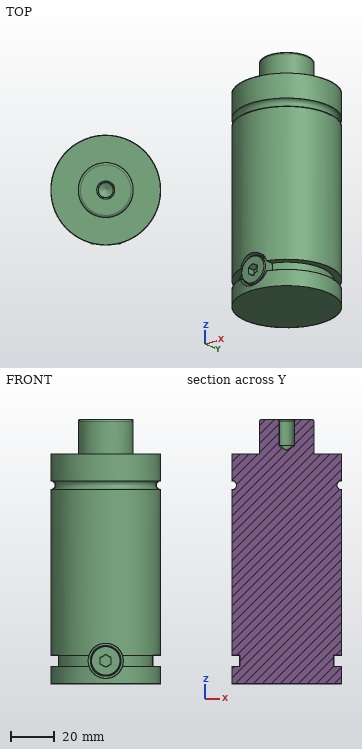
import cadquery as cq
import math

BODY_DIAMETER = 50.0
BODY_HEIGHT = 104.7
BODY_RADIUS = BODY_DIAMETER / 2

CUT_CLEARANCE = 1.0

TOTAL_HEIGHT = 120.4
ROD_DIAMETER = 25.0
ROD_EDGE_FILLET = 1.0

TAP_DRILL_DIAMETER = 6.8
COUNTERSINK_DIAMETER = 8.2
TAP_DRILL_DEPTH = 12.0
DRILL_POINT_ANGLE = 118.0

ROUND_GROOVE_RADIUS = 2.0
ROUND_GROOVE_Z = 90.4

SQUARE_GROOVE_BOTTOM = 8.0
SQUARE_GROOVE_WIDTH = 5.0
SQUARE_GROOVE_DIAMETER = 43.0

PORT_Z = SQUARE_GROOVE_BOTTOM + SQUARE_GROOVE_WIDTH / 2
PORT_DIAMETER = 16.0
PORT_FLOOR_Y = -18.0
PLUG_DIAMETER = 14.0
PLUG_FACE_Y = -24.5
PLUG_CHAMFER = 0.5
HEX_ACROSS_FLATS = 5.0
HEX_DEPTH = 4.0


def make_body():
    body = cq.Workplane("XY").circle(BODY_RADIUS).extrude(BODY_HEIGHT)
    rod = (
        cq.Workplane("XY", origin=(0, 0, BODY_HEIGHT))
        .circle(ROD_DIAMETER / 2)
        .extrude(TOTAL_HEIGHT - BODY_HEIGHT)
        .faces(">Z")
        .edges()
        .fillet(ROD_EDGE_FILLET)
    )
    return body.union(rod)


def make_tapped_hole():
    """Revolved hole: 45 degree countersink, drilled bore and drill point."""
    bore_radius = TAP_DRILL_DIAMETER / 2
    mouth_radius = COUNTERSINK_DIAMETER / 2
    countersink_depth = mouth_radius - bore_radius
    point_depth = bore_radius / math.tan(math.radians(DRILL_POINT_ANGLE / 2))
    bore_end = TOTAL_HEIGHT - TAP_DRILL_DEPTH
    return (
        cq.Workplane("XZ")
        .moveTo(0, TOTAL_HEIGHT)
        .lineTo(mouth_radius, TOTAL_HEIGHT)
        .lineTo(bore_radius, TOTAL_HEIGHT - countersink_depth)
        .lineTo(bore_radius, bore_end)
        .lineTo(0, bore_end - point_depth)
        .close()
        .revolve(360, (0, 0), (0, 1))
    )


def make_round_groove():
    return cq.Workplane("XY").add(
        cq.Solid.makeTorus(BODY_RADIUS, ROUND_GROOVE_RADIUS, cq.Vector(0, 0, ROUND_GROOVE_Z))
    )


def make_square_groove():
    return (
        cq.Workplane("XY", origin=(0, 0, SQUARE_GROOVE_BOTTOM))
        .circle(BODY_RADIUS + CUT_CLEARANCE)
        .circle(SQUARE_GROOVE_DIAMETER / 2)
        .extrude(SQUARE_GROOVE_WIDTH)
    )


def port_plane(y):
    """Plane across the port axis at the given Y, facing outward along -Y."""
    return cq.Workplane("XZ", origin=(0, y, PORT_Z))


def make_port():
    return port_plane(PORT_FLOOR_Y).circle(PORT_DIAMETER / 2).extrude(BODY_RADIUS + PORT_FLOOR_Y)


def make_plug():
    """Chamfered plug standing on the port floor, with a hexagon socket, corners up and down."""
    hex_circle_diameter = HEX_ACROSS_FLATS / math.cos(math.pi / 6)
    plug = (
        port_plane(PORT_FLOOR_Y)
        .circle(PLUG_DIAMETER / 2)
        .extrude(PORT_FLOOR_Y - PLUG_FACE_Y)
        .faces("<Y")
        .chamfer(PLUG_CHAMFER)
    )
    socket = (
        port_plane(PLUG_FACE_Y)
        .transformed(rotate=(0, 0, 90))
        .polygon(6, hex_circle_diameter)
        .extrude(-HEX_DEPTH)
    )
    return plug.cut(socket)


result = (
    make_body()
    .cut(make_tapped_hole())
    .cut(make_round_groove())
    .cut(make_square_groove())
    .cut(make_port())
    .union(make_plug())
)